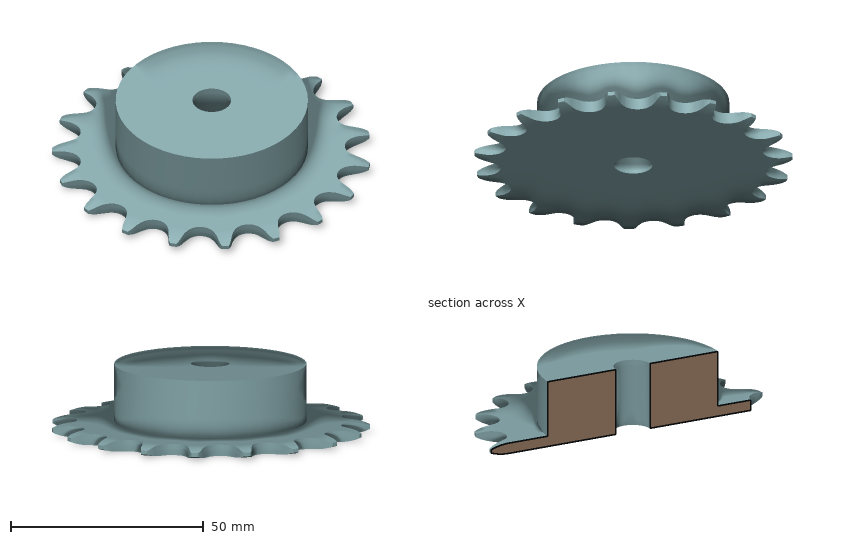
import cadquery as cq
import math

TOOTH_COUNT = 19
PITCH_RADIUS = 38.6
ROLLER_DIAMETER = 7.95

TIP_RADIUS = 41.45
PLATE_THICKNESS = 3.0
BEVEL_START_RADIUS = 36.4
TIP_THICKNESS = 1.0

HUB_DIAMETER = 50.0
BORE_DIAMETER = 10.0
TOTAL_HEIGHT = 18.0

SEAT_CLEARANCE_FACTOR = 1.005
WORKING_RADIUS_FACTOR = 1.3025
WORKING_OFFSET_FACTOR = 0.8
TOPPING_OFFSET_FACTOR = 1.4
SEAT_EDGE_HEADING = math.radians(35 + 60 / TOOTH_COUNT)
WORKING_TURN = math.radians(18 - 56 / TOOTH_COUNT)
TOPPING_OFFSET_ANGLE = math.radians(17 - 64 / TOOTH_COUNT)

SEAT_RADIUS = SEAT_CLEARANCE_FACTOR * ROLLER_DIAMETER / 2
WORKING_RADIUS = WORKING_RADIUS_FACTOR * ROLLER_DIAMETER
WORKING_OFFSET = WORKING_OFFSET_FACTOR * ROLLER_DIAMETER
TOPPING_OFFSET = TOPPING_OFFSET_FACTOR * ROLLER_DIAMETER
FLAT_LENGTH = (
    TOPPING_OFFSET * math.sin(TOPPING_OFFSET_ANGLE)
    - WORKING_OFFSET * math.sin(WORKING_TURN)
)
TOPPING_RADIUS = (
    TOPPING_OFFSET * math.cos(TOPPING_OFFSET_ANGLE)
    + WORKING_OFFSET * math.cos(WORKING_TURN)
    - WORKING_RADIUS
)

TOOTH_PITCH = 2 * math.pi / TOOTH_COUNT
FIRST_GAP_ANGLE = math.pi / 2


def polar(centre, radius, angle):
    """Point at a radius and angle from a centre."""
    return (centre[0] + radius * math.cos(angle), centre[1] + radius * math.sin(angle))


def half_gap_points():
    """Named points from root to tooth tip on the +Y side of a gap centred on +X.

    They bound the roller seat, the concave working arc, a short flat and the convex
    topping arc, each tangent to the one before.
    """
    left = math.pi / 2
    seat_centre = (PITCH_RADIUS, 0)
    root = (PITCH_RADIUS - SEAT_RADIUS, 0)
    seat_end = polar(seat_centre, SEAT_RADIUS, SEAT_EDGE_HEADING + left)

    flat_heading = SEAT_EDGE_HEADING - WORKING_TURN
    working_centre = polar(seat_end, WORKING_RADIUS, SEAT_EDGE_HEADING - left)
    working_middle = polar(working_centre, WORKING_RADIUS, SEAT_EDGE_HEADING - WORKING_TURN / 2 + left)
    working_end = polar(working_centre, WORKING_RADIUS, flat_heading + left)
    flat_end = polar(working_end, FLAT_LENGTH, flat_heading)

    topping_centre = polar(flat_end, TOPPING_RADIUS, flat_heading + left)
    centre_distance = math.hypot(*topping_centre)
    centre_angle = math.atan2(topping_centre[1], topping_centre[0])
    corner_offset = math.acos(
        (centre_distance**2 + TIP_RADIUS**2 - TOPPING_RADIUS**2) / (2 * centre_distance * TIP_RADIUS)
    )
    tip_corner = polar((0, 0), TIP_RADIUS, centre_angle - corner_offset)
    corner_angle = math.atan2(tip_corner[1] - topping_centre[1], tip_corner[0] - topping_centre[0])
    topping_middle = polar(topping_centre, TOPPING_RADIUS, (flat_heading - left + corner_angle) / 2)

    return {
        "root": root,
        "seat end": seat_end,
        "working middle": working_middle,
        "working end": working_end,
        "flat end": flat_end,
        "topping middle": topping_middle,
        "tip corner": tip_corner,
    }


def turned(point, angle):
    """Rotate a point about the sprocket axis."""
    return polar((0, 0), math.hypot(*point), math.atan2(point[1], point[0]) + angle)


def tooth_outline():
    """Closed outline of all teeth, made of one gap and the following tooth tip at a time."""
    rising = half_gap_points()
    falling = {name: (x, -y) for name, (x, y) in rising.items()}
    tip_middle = (TIP_RADIUS, 0)

    outline = cq.Workplane("XY").moveTo(*turned(falling["tip corner"], FIRST_GAP_ANGLE))
    for index in range(TOOTH_COUNT):
        angle = FIRST_GAP_ANGLE + index * TOOTH_PITCH
        down = {name: turned(point, angle) for name, point in falling.items()}
        up = {name: turned(point, angle) for name, point in rising.items()}
        next_corner = turned(falling["tip corner"], angle + TOOTH_PITCH)
        outline = (
            outline
            .threePointArc(down["topping middle"], down["flat end"])
            .lineTo(*down["working end"])
            .threePointArc(down["working middle"], down["seat end"])
            .threePointArc(up["root"], up["seat end"])
            .threePointArc(up["working middle"], up["working end"])
            .lineTo(*up["flat end"])
            .threePointArc(up["topping middle"], up["tip corner"])
            .threePointArc(turned(tip_middle, angle + TOOTH_PITCH / 2), next_corner)
        )
    return outline.close()


def bevelled_disc():
    """Disc whose two faces curve symmetrically inward towards the rim."""
    drop = (PLATE_THICKNESS - TIP_THICKNESS) / 2
    bevel_width = TIP_RADIUS - BEVEL_START_RADIUS
    bevel_radius = (bevel_width**2 + drop**2) / (2 * drop)
    half_turn = math.asin(bevel_width / bevel_radius) / 2
    middle_radius = BEVEL_START_RADIUS + bevel_radius * math.sin(half_turn)
    middle_drop = bevel_radius * (1 - math.cos(half_turn))

    return (
        cq.Workplane("XZ")
        .lineTo(BEVEL_START_RADIUS, 0)
        .threePointArc((middle_radius, middle_drop), (TIP_RADIUS, drop))
        .lineTo(TIP_RADIUS, PLATE_THICKNESS - drop)
        .threePointArc(
            (middle_radius, PLATE_THICKNESS - middle_drop),
            (BEVEL_START_RADIUS, PLATE_THICKNESS),
        )
        .lineTo(0, PLATE_THICKNESS)
        .close()
        .revolve(360, (0, 0), (0, 1))
    )


plate = tooth_outline().extrude(PLATE_THICKNESS).intersect(bevelled_disc())

hub = cq.Workplane("XY").circle(HUB_DIAMETER / 2).extrude(TOTAL_HEIGHT)
bore = cq.Workplane("XY").circle(BORE_DIAMETER / 2).extrude(TOTAL_HEIGHT)

result = plate.union(hub).cut(bore)